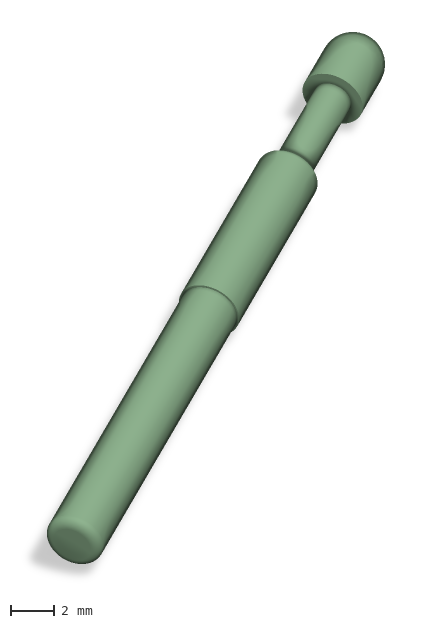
import cadquery as cq

total_length = 36.3
head_length = 4.0
neck_length = 5.35
sleeve_length = 10.0

body_diameter = 3.0
neck_diameter = 1.85
barrel_diameter = 2.8

sleeve_rim_radius = 0.33
barrel_end_radius = 0.45

barrel_end_y = -total_length / 2
tip_y = total_length / 2
head_base_y = tip_y - head_length
sleeve_front_y = head_base_y - neck_length
sleeve_back_y = sleeve_front_y - sleeve_length


def cylinder(diameter, start_y, end_y):
    """Solid cylinder on the Y axis between two positions."""
    plane = cq.Workplane("XZ", origin=(0, start_y, 0))
    return plane.circle(diameter / 2).extrude(start_y - end_y)


def domed_head():
    """Cylindrical head whose free end is a full hemisphere."""
    radius = body_diameter / 2
    dome_base_y = tip_y - radius
    dome = cq.Workplane("XY").sphere(radius).translate((0, dome_base_y, 0))
    return cylinder(body_diameter, head_base_y, dome_base_y).union(dome)


def sleeve():
    """Thicker collar with a rounded rim facing the head."""
    blank = cylinder(body_diameter, sleeve_back_y, sleeve_front_y)
    return blank.faces(">Y").edges().fillet(sleeve_rim_radius)


def barrel():
    """Long barrel with a rounded free end."""
    blank = cylinder(barrel_diameter, barrel_end_y, sleeve_back_y)
    return blank.faces("<Y").edges().fillet(barrel_end_radius)


neck = cylinder(neck_diameter, sleeve_front_y, head_base_y)
result = barrel().union(sleeve()).union(neck).union(domed_head())